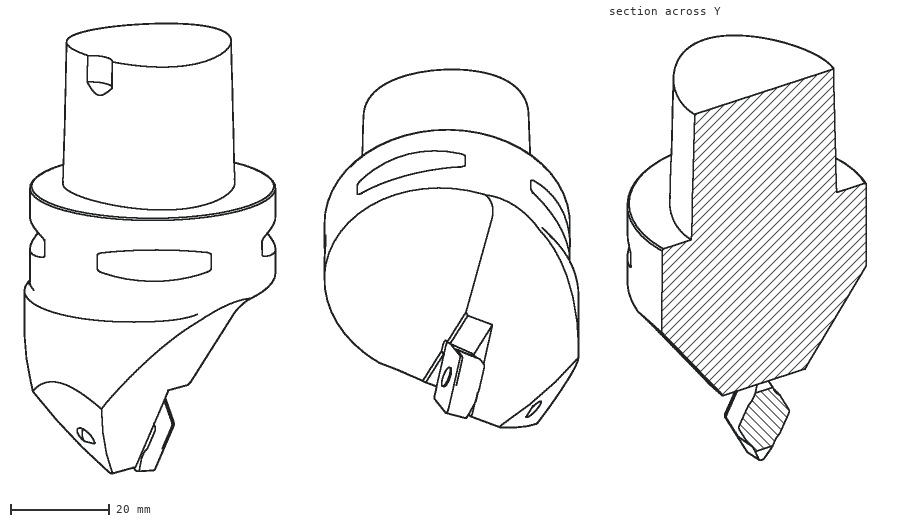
import cadquery as cq
import math


overall_length = 90

shank_height = 30.0
shank_base_radius = 17.5
shank_lobe = 1.1
taper_ratio = 1 / 20
shank_shrink = shank_height * taper_ratio / 2

keyway_radius = 4.4
keyway_center_y = -18.2
keyway_depth = 5.6
drill_tip_depth = keyway_radius

flange_radius = 25.0
flange_chamfer = 0.4
flange_bottom_z = -20.25
groove_center_z = -9.9
groove_floor_distance = 22.1
groove_floor_width = 3.7
groove_side_angle = 27
groove_floor_fillet = 0.9

body_radius = 23.9
body_center_y = -3.15
flare_radius = 1.2
ledge_drop = 0.3

flank_top_z = -19.3
flank_bend_top = (10.8, -38.7)
flank_bend_bottom = (9.9, -40.05)
tip_half_angle = math.radians(27.5)
holder_tip_z = -58.3
holder_nose_radius = 0.6

relief_edge_z = -17.7
relief_slope = math.tan(math.radians(4.8))
body_face_y = 0.6
relief_fillet = 3.4
ledge_z = -40.1
ledge_chamfer = 0.5

back_start = (-27.2, -36.0)
back_middle = (-20.25, -48.1)
back_end = (-12.1, holder_tip_z)
recess_diameter = 4.05
recess_floor_y = -18.5

insert_tip_z = shank_height - overall_length
insert_thickness = 5.5
insert_half_width = 6.2
insert_half_length = insert_half_width / math.tan(tip_half_angle)
insert_nose_radius = 0.8
insert_nose_shortening = insert_nose_radius * (1 / math.sin(tip_half_angle) - 1)
insert_center_z = insert_tip_z + insert_half_length - insert_nose_shortening
insert_corner_radius = 1.2
insert_clearance_angle = 4
rail_start = 0.5
rail_half_diagonal = 8.9
rail_end_angle = 4.2
back_chamfer_start = 6.9
back_chamfer_angle = math.radians(16.4)
boss_diameter = 4.05
boss_height = 0.3

margin = 9.0


def lobed_wire(radius, z):
    """Closed three-lobed trochoid outline, with one lobe toward +Y."""

    def point(t):
        x = radius * math.sin(t) - shank_lobe * math.sin(2 * t)
        y = radius * math.cos(t) + shank_lobe * math.cos(2 * t)
        return (x, y, z)

    samples = 24
    points = [cq.Vector(*point(2 * math.pi * i / samples)) for i in range(samples)]
    return cq.Wire.assembleEdges([cq.Edge.makeSpline(points, periodic=True)])


def make_shank():
    base = lobed_wire(shank_base_radius, 0)
    top = lobed_wire(shank_base_radius - shank_shrink, shank_height)
    shank = cq.Workplane(obj=cq.Solid.makeLoft([base, top], True))
    keyway_floor = shank_height - keyway_depth
    drill = (
        cq.Workplane("XZ", origin=(0, keyway_center_y, 0))
        .moveTo(0, keyway_floor - drill_tip_depth)
        .lineTo(keyway_radius, keyway_floor)
        .lineTo(keyway_radius, shank_height + margin)
        .lineTo(0, shank_height + margin)
        .close()
        .revolve(360, (0, 0), (0, 1))
    )
    return shank.cut(drill)


def make_groove(angle):
    """Cutter for one trapezoidal gripper groove, tangent to a circle around the axis."""
    reach = flange_radius + margin - groove_floor_distance
    floor_half = groove_floor_width / 2
    mouth_half = floor_half + reach * math.tan(math.radians(groove_side_angle))
    return (
        cq.Workplane("XZ")
        .moveTo(groove_floor_distance, groove_center_z - floor_half)
        .lineTo(groove_floor_distance + reach, groove_center_z - mouth_half)
        .lineTo(groove_floor_distance + reach, groove_center_z + mouth_half)
        .lineTo(groove_floor_distance, groove_center_z + floor_half)
        .close()
        .extrude(flange_radius, both=True)
        .faces("<X")
        .edges("|Y")
        .fillet(groove_floor_fillet)
        .rotate((0, 0, 0), (0, 0, 1), angle)
    )


def make_flange_blank():
    """Flange cylinder that runs down to the tip; later cuts give it its underside."""
    return (
        cq.Workplane("XY")
        .circle(flange_radius)
        .extrude(holder_tip_z)
        .faces(">Z")
        .chamfer(flange_chamfer)
    )


def make_body_blank():
    """Eccentric cylinder whose top is a ledge with a concave flare up to the flange."""
    cylinder = (
        cq.Workplane("XY", origin=(0, body_center_y, flange_bottom_z))
        .circle(body_radius)
        .extrude(holder_tip_z - flange_bottom_z)
    )
    flare_end = (flange_radius + flare_radius, flange_bottom_z - flare_radius)
    flare_middle = (
        flare_end[0] - flare_radius * math.cos(math.pi / 4),
        flange_bottom_z - flare_radius * math.sin(math.pi / 4),
    )
    outer_radius = flange_radius + margin
    under_flare = (
        cq.Workplane("XZ")
        .moveTo(0, flange_bottom_z)
        .lineTo(flange_radius, flange_bottom_z)
        .threePointArc(flare_middle, flare_end)
        .lineTo(body_radius - body_center_y, flare_end[1] - ledge_drop)
        .lineTo(outer_radius, flare_end[1] - ledge_drop)
        .lineTo(outer_radius, holder_tip_z)
        .lineTo(0, holder_tip_z)
        .close()
        .revolve(360, (0, 0), (0, 1))
    )
    return cylinder.intersect(under_flare)


def make_flank_envelope():
    """Front outline, extruded along Y: straight sides, two flank angles and a round nose."""
    nose_center_z = holder_tip_z + holder_nose_radius
    nose_x = holder_nose_radius * math.cos(tip_half_angle)
    nose_z = nose_center_z - holder_nose_radius * math.sin(tip_half_angle)
    bend_top_x, bend_top_z = flank_bend_top
    bend_bottom_x, bend_bottom_z = flank_bend_bottom
    return (
        cq.Workplane("XZ")
        .moveTo(-flange_radius, 0)
        .lineTo(flange_radius, 0)
        .lineTo(flange_radius, flank_top_z)
        .lineTo(bend_top_x, bend_top_z)
        .tangentArcPoint((bend_bottom_x, bend_bottom_z), relative=False)
        .lineTo(nose_x, nose_z)
        .threePointArc((0, holder_tip_z), (-nose_x, nose_z))
        .lineTo(-bend_bottom_x, bend_bottom_z)
        .tangentArcPoint((-bend_top_x, bend_top_z), relative=False)
        .lineTo(-flange_radius, flank_top_z)
        .close()
        .extrude(2 * flange_radius, both=True)
    )


def make_relief():
    """Cutter that clears the +Y side: flange underside, body face and open insert seat."""
    outer_y = flange_radius + margin
    corner_z = relief_edge_z - (flange_radius - body_face_y) * relief_slope
    upper = (
        cq.Workplane("YZ")
        .moveTo(outer_y, relief_edge_z + margin * relief_slope)
        .lineTo(body_face_y, corner_z)
        .lineTo(body_face_y, holder_tip_z - margin)
        .lineTo(outer_y, holder_tip_z - margin)
        .close()
        .extrude(flange_radius + margin, both=True)
        .edges(cq.selectors.NearestToPointSelector((0, body_face_y, corner_z)))
        .fillet(relief_fillet)
    )
    seat = (
        cq.Workplane("YZ")
        .moveTo(body_face_y, ledge_z + ledge_chamfer)
        .lineTo(body_face_y - ledge_chamfer, ledge_z)
        .lineTo(-insert_thickness, ledge_z)
        .lineTo(-insert_thickness, holder_tip_z - margin)
        .lineTo(body_face_y, holder_tip_z - margin)
        .close()
        .extrude(flange_radius + margin, both=True)
    )
    return upper.union(seat)


def make_back_cutter():
    """Cutter for the back: a convex arc that turns inward toward the tip."""
    return (
        cq.Workplane("YZ")
        .moveTo(*back_start)
        .threePointArc(back_middle, back_end)
        .lineTo(back_end[0], holder_tip_z - margin)
        .lineTo(back_start[0] - margin, holder_tip_z - margin)
        .lineTo(back_start[0] - margin, back_start[1])
        .close()
        .extrude(flange_radius, both=True)
    )


def make_back_recess():
    """Flat-floored round recess in the back, in line with the insert centre."""
    return (
        cq.Workplane("XZ", origin=(0, recess_floor_y, insert_center_z))
        .circle(recess_diameter / 2)
        .extrude(flange_radius)
    )


def make_diamond(top_y, thickness, taper=0):
    """Rounded diamond plate from top_y toward -Y, narrowing by the taper angle."""
    plate = (
        cq.Workplane("XZ", origin=(0, top_y, insert_center_z))
        .moveTo(insert_half_width, 0)
        .lineTo(0, insert_half_length)
        .lineTo(-insert_half_width, 0)
        .lineTo(0, -insert_half_length)
        .close()
        .extrude(thickness, taper=taper)
    )
    plate = plate.edges("not #Y").edges("<Z or >Z").fillet(insert_nose_radius)
    return plate.edges("not #Y").edges("<X or >X").fillet(insert_corner_radius)


def make_insert():
    plate = make_diamond(0, insert_thickness, insert_clearance_angle)

    rail_end_cut = (
        cq.Workplane("XZ", origin=(0, -rail_start, insert_center_z))
        .polygon(4, 2 * rail_half_diagonal)
        .extrude(insert_thickness - rail_start, taper=rail_end_angle)
    )
    rails = make_diamond(0, insert_thickness).intersect(rail_end_cut)
    insert = plate.union(rails)

    chamfer_rise = margin * math.tan(back_chamfer_angle)
    for side in (-1, 1):
        start_z = insert_center_z + side * back_chamfer_start
        wedge = (
            cq.Workplane("YZ")
            .moveTo(-insert_thickness, start_z)
            .lineTo(-insert_thickness + chamfer_rise, start_z + side * margin)
            .lineTo(-insert_thickness, start_z + side * margin)
            .close()
            .extrude(insert_half_width, both=True)
        )
        insert = insert.cut(wedge)

    boss = (
        cq.Workplane("XZ", origin=(0, boss_height, insert_center_z))
        .circle(boss_diameter / 2)
        .extrude(boss_height + insert_thickness / 2)
    )
    return insert.union(boss)


def make_holder(insert):
    holder = make_flange_blank()
    holder = holder.union(make_body_blank())
    holder = holder.intersect(make_flank_envelope())
    holder = holder.cut(make_relief())
    for angle in (45, 135, 225, 315):
        holder = holder.cut(make_groove(angle))
    holder = holder.cut(make_back_cutter()).cut(make_back_recess())
    holder = holder.union(make_shank())
    notch_mouth = make_diamond(body_face_y, body_face_y)
    return holder.cut(insert).cut(notch_mouth)


insert = make_insert()
holder = make_holder(insert)

result = cq.Compound.makeCompound([holder.solids().val(), insert.solids().val()])